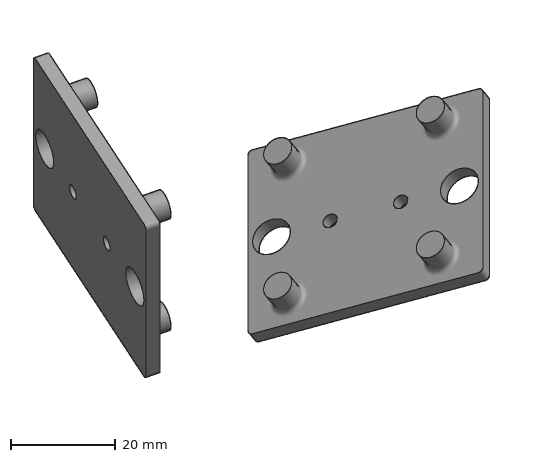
import cadquery as cq

plate_width = 50.0
plate_height = 43.0
plate_thickness = 3.0
corner_radius = 1.0

large_hole_diameter = 8.0
large_hole_spacing = 40.0
small_hole_diameter = 3.0
small_hole_spacing = 15.0

overall_depth = 8.1
post_diameter = 6.0
post_spacing_x = 32.5
post_spacing_z = 31.5
post_fillet_radius = 1.0

post_length = overall_depth - plate_thickness


def make_plate():
    """Rounded rectangular plate extending from Y = 0 to the back face."""
    plate = cq.Workplane("XY").box(
        plate_width, plate_thickness, plate_height, centered=(True, False, True)
    )
    return plate.edges("|Y").fillet(corner_radius)


def cut_hole_pair(body, diameter, spacing):
    """Cut two through holes placed symmetrically about X = 0."""
    holes = (
        cq.Workplane("XZ")
        .pushPoints([(-spacing / 2, 0), (spacing / 2, 0)])
        .circle(diameter / 2)
        .extrude(-plate_thickness)
    )
    return body.cut(holes)


def make_post():
    """Round post along +Y, with a concave fillet flaring out onto the plate."""
    radius = post_diameter / 2
    fillet_offset = post_fillet_radius * (1 - 0.5**0.5)
    profile = (
        cq.Workplane("XY")
        .lineTo(radius + post_fillet_radius, 0)
        .threePointArc(
            (radius + fillet_offset, fillet_offset),
            (radius, post_fillet_radius),
        )
        .lineTo(radius, post_length)
        .lineTo(0, post_length)
        .close()
    )
    return profile.revolve(360, (0, 0, 0), (0, 1, 0))


result = make_plate()
result = cut_hole_pair(result, large_hole_diameter, large_hole_spacing)
result = cut_hole_pair(result, small_hole_diameter, small_hole_spacing)
for side_x in (-1, 1):
    for side_z in (-1, 1):
        post_position = (side_x * post_spacing_x / 2, plate_thickness, side_z * post_spacing_z / 2)
        result = result.union(make_post().translate(post_position))